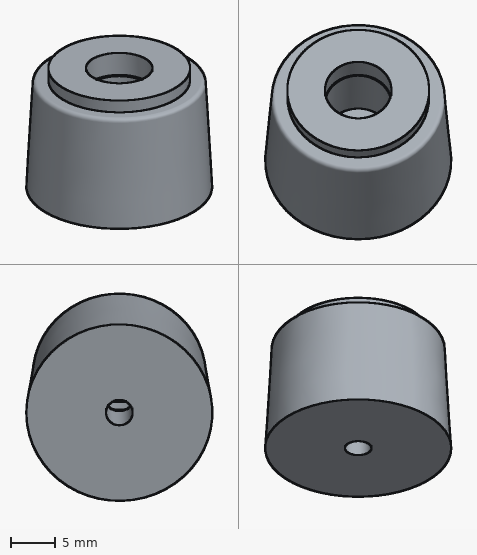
import cadquery as cq

base_diameter = 21.0
shoulder_diameter = 19.5
shoulder_height = 13.5
shoulder_fillet = 0.5

ring_diameter = 16.0
ring_rise = 1.5
ring_thickness = 2.8

ring_gap = 0.17

bore_diameter = 7.5
screw_diameter = 3.0
floor_thickness = 5.0

top_height = shoulder_height + ring_rise
ring_bottom = top_height - ring_thickness
recess_floor = ring_bottom - ring_gap


def cylinder(diameter, bottom, top):
    """Solid cylinder on the Z axis between two heights."""
    return cq.Workplane("XY").workplane(offset=bottom).circle(diameter / 2).extrude(top - bottom)


def make_foot():
    """Tapered foot with a rounded shoulder, a ring recess and a stepped screw hole."""
    foot = (
        cq.Workplane("XZ")
        .polyline([
            (0, 0),
            (base_diameter / 2, 0),
            (shoulder_diameter / 2, shoulder_height),
            (0, shoulder_height),
        ])
        .close()
        .revolve(360, (0, 0, 0), (0, 1, 0))
        .faces(">Z")
        .edges()
        .fillet(shoulder_fillet)
    )
    ring_recess = cylinder(ring_diameter, recess_floor, shoulder_height)
    bore = cylinder(bore_diameter, floor_thickness, shoulder_height)
    screw_hole = cylinder(screw_diameter, 0, floor_thickness)
    return foot.cut(ring_recess).cut(bore).cut(screw_hole)


def make_ring():
    """Flat ring that stands proud of the foot and continues its bore."""
    return cylinder(ring_diameter, ring_bottom, top_height).cut(
        cylinder(bore_diameter, ring_bottom, top_height)
    )


foot = make_foot()
ring = make_ring()

result = cq.Compound.makeCompound([foot.val(), ring.val()])